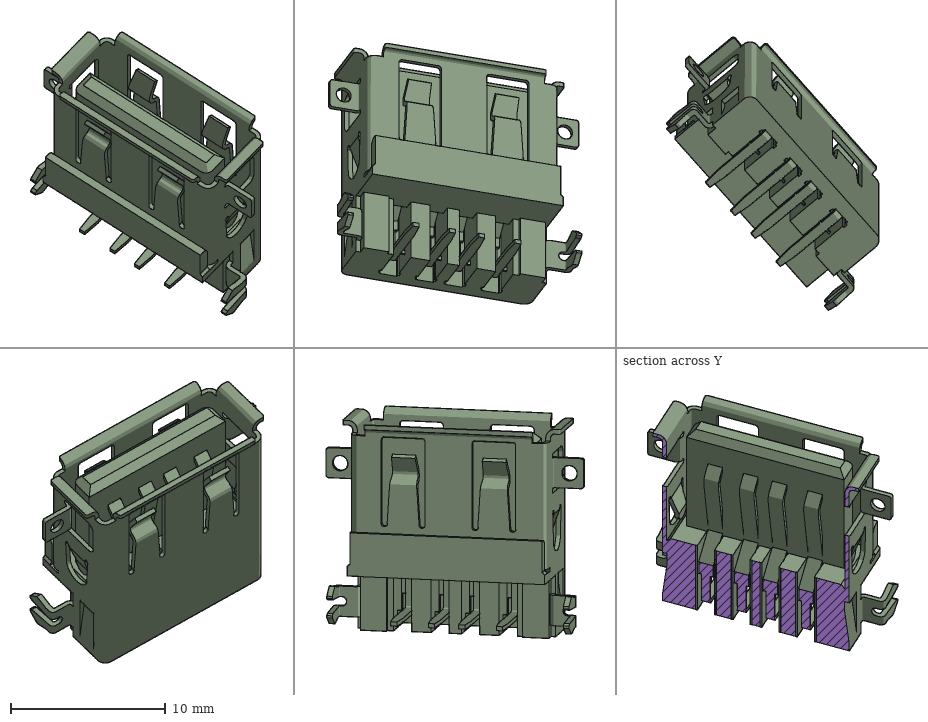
import cadquery as cq
import math


sheet = 0.3
shell_width = 13.12
shell_depth = 5.75
shell_top = 13.22
corner_radius = 0.62
half_width = shell_width / 2
half_depth = shell_depth / 2
inner_half_width = half_width - sheet
inner_half_depth = half_depth - sheet

lip_top = 14.0
lip_bend = 0.46
lip_corner = 0.17
long_lip_width = 11.08
long_lip_reach = 3.28
short_lip_width = 3.93
short_lip_reach = 7.23

front_wall_bottom = 4.87
gap_bottom = 4.65
gap_rear = -2.0
overhang_bottom = 4.07
leg_wall_front = -0.41

spring_offset = 3.01
window_width = 2.9
window_corner = 0.24
spring_root = 7.49
spring_root_width = 2.12
spring_bend = 10.2
spring_bend_radius = 0.41
spring_apex = 10.48
spring_apex_depth = 0.92
spring_apex_radius = 0.5
spring_top = 11.95
spring_tip_depth = 0.02
spring_taper_top = 12.31
spring_taper_top_width = 1.5
spring_slot_radius = 0.2

clip_root = 8.23
clip_root_width = 1.65
clip_bend = 6.82
clip_bend_width = 1.23
clip_tip = 6.1
clip_depth = 0.46
clip_slot_radius = 0.15
clip_slot_width = 2.36
clip_slot_low_width = 2.12
clip_slot_low = 6.4
clip_slot_bottom = 5.63

ear_span = 17.1
ear_height = 1.98
ear_level = 10.96
ear_hole = 1.01
ear_hole_offset = 7.61
ear_plane = -0.85
ear_corner = 0.19
ear_window_height = 2.6
ear_window_rear = 1.78
ear_window_front = -1.28
ear_window_corner = 0.53
ear_arm_corner = 0.12
small_bend = 0.25

leg_level = 1.85
leg_height = 2.0
leg_thickness = 0.38
leg_outer = 8.04
leg_slot = 0.62
leg_slot_end = 7.18
leg_bend = 0.32
leg_inner_bend = 0.09
leg_bend_front = -1.1
leg_tip = -3.06
leg_reach = 1.23
prong_tip_outline = ((-2.85, 0.45), (leg_tip, 0.56), (-3.05, 0.72))
prong_widest_front = -2.35
prong_widest_rear = -2.14
prong_neck = -1.37

housing_top = 5.47
housing_chamfer = 0.27
foot_front = -1.06
rib_front = -0.8
rib_zone_width = 9.03
front_bar_face = -3.63
front_bar_top = 6.93
front_bar_width = 12.75
front_bar_radius = 0.5
relief_width = 4.04
relief_step = -2.19
relief_depth = 0.35
latch_rear = 1.8
latch_front = 0.36
latch_top = 4.07
latch_ramp_top = 3.23
latch_bottom = 0.7

tongue_width = 11.08
tongue_front = -1.81
tongue_top = 13.44
tongue_chamfer = 0.48
tongue_corner = 0.55

contact_positions = (-3.5, -1.01, 1.01, 3.5)
contact_thickness = 0.27
contact_width = 1.03
stem_width = 0.63
stem_top = 3.13
blade_bend = 3.85
blade_points = ((-0.2, 5.65), (0.62, 10.36), (-0.27, 11.32))
blade_radius = 0.7
tail_level = 1.0
tail_tip = -3.44
tail_tip_width = 0.41
tail_taper_start = -2.22
barb_rear = 0.51
barb_front = 0.38
slot_width = 1.2
slot_rear = 1.8
slot_relief_width = 1.44
slot_relief_front = 1.55
slot_pocket_top = 1.98
slot_pocket_depth = 0.17


def box(x0, x1, y0, y1, z0, z1):
    """Axis-aligned block between two opposite corners."""
    return cq.Workplane("XY").box(x1 - x0, y1 - y0, z1 - z0, centered=False).translate((x0, y0, z0))


def both_sides(body):
    """The body together with its mirror image across the YZ plane."""
    return body.union(body.mirror("YZ"))


def bent_strip(plane, path, radii, thickness, width):
    """Bent sheet: path is its middle line, radii its bend radii (0 for sharp)."""
    segments = list(zip(path, path[1:]))
    angles = [math.atan2(b[1] - a[1], b[0] - a[0]) for a, b in segments]

    def beside(point, angle, offset):
        return point[0] - offset * math.sin(angle), point[1] + offset * math.cos(angle)

    def side(offset):
        """Line and arc pieces of one face, each as (start, arc midpoint or None, end)."""
        pieces = []
        start = beside(path[0], angles[0], offset)
        for point, radius, before, after in zip(path[1:], radii, angles, angles[1:]):
            turn = math.remainder(after - before, 2 * math.pi)
            if radius == 0:
                miter = beside(point, (before + after) / 2, offset / math.cos(turn / 2))
                pieces.append((start, None, miter))
                start = miter
                continue
            signed_radius = math.copysign(radius, turn)
            setback = radius * math.tan(abs(turn) / 2)
            tangent = (point[0] - setback * math.cos(before), point[1] - setback * math.sin(before))
            center = beside(tangent, before, signed_radius)
            arc = [beside(center, before + turn * part, offset - signed_radius) for part in (0, 0.5, 1)]
            pieces.append((start, None, arc[0]))
            pieces.append(tuple(arc))
            start = arc[2]
        pieces.append((start, None, beside(path[-1], angles[-1], offset)))
        return pieces

    left = side(thickness / 2)
    right = [(end, middle, start) for start, middle, end in reversed(side(-thickness / 2))]
    sketch = cq.Workplane(plane).moveTo(*left[0][0])
    end_cap = (left[-1][2], None, right[0][0])
    for _, middle, end in left + [end_cap] + right:
        sketch = sketch.threePointArc(middle, end) if middle else sketch.lineTo(*end)
    return sketch.close().extrude(width / 2, both=True)


def lip(wall_face, reach, width):
    """Lip on the +X side: rises from the wall and flares outward."""
    middle = wall_face - sheet / 2
    level = lip_top - sheet / 2
    path = [(middle, shell_top), (middle, level), (reach, level)]
    body = bent_strip("XZ", path, [lip_bend], sheet, width)
    return body.edges("|Z and >X").fillet(lip_corner)


def wall_window():
    """Opening around one front or back spring, centred on X = 0 and cut through both walls."""
    height = shell_top - spring_root
    opening = (
        cq.Workplane("XZ")
        .center(0, spring_root + height / 2)
        .rect(window_width, height)
        .extrude(shell_depth, both=True)
        .edges("|Y and >Z")
        .fillet(window_corner)
    )
    slot_ends = (
        cq.Workplane("XZ")
        .pushPoints([(side * (window_width / 2 - spring_slot_radius), spring_root) for side in (-1, 1)])
        .circle(spring_slot_radius)
        .extrude(shell_depth, both=True)
    )
    return opening.union(slot_ends)


def wall_spring():
    """Front-wall spring centred on X = 0: bulges inward and flares back out at its tip."""
    middle = -half_depth + sheet / 2
    apex = (middle + spring_apex_depth, spring_apex)
    tip = (middle + spring_tip_depth, spring_top)
    path = [(middle, spring_root), (middle, spring_bend), apex, tip]
    strip = bent_strip("YZ", path, [spring_bend_radius, spring_apex_radius], sheet, spring_root_width)
    taper = (
        cq.Workplane("XZ")
        .moveTo(-spring_root_width / 2, spring_root)
        .lineTo(spring_root_width / 2, spring_root)
        .lineTo(spring_taper_top_width / 2, spring_taper_top)
        .lineTo(-spring_taper_top_width / 2, spring_taper_top)
        .close()
        .extrude(shell_depth, both=True)
    )
    return strip.intersect(taper)


def clip_opening():
    """U-shaped opening around the side springs, cut through both side walls."""
    arm_top = clip_root + clip_slot_radius / 2
    outline = (
        cq.Workplane("YZ")
        .moveTo(-clip_slot_width / 2, clip_root)
        .lineTo(-clip_slot_low_width / 2, clip_slot_low)
        .threePointArc((0, clip_slot_bottom), (clip_slot_low_width / 2, clip_slot_low))
        .lineTo(clip_slot_width / 2, clip_root)
        .close()
        .extrude(shell_width, both=True)
    )
    arm_ends = (
        cq.Workplane("YZ")
        .pushPoints([(side * (clip_slot_width / 2 - clip_slot_radius), arm_top) for side in (-1, 1)])
        .circle(clip_slot_radius)
        .extrude(shell_width, both=True)
    )
    return outline.union(arm_ends)


def side_clip():
    """Left side spring: slopes inward going down and ends in a round vertical pad."""
    middle = -half_width + sheet / 2
    path = [
        (middle, clip_root + sheet),
        (middle, clip_root),
        (middle + clip_depth, clip_bend),
        (middle + clip_depth, clip_tip),
    ]
    strip = bent_strip("XZ", path, [0, 0], sheet, clip_root_width)
    outline = (
        cq.Workplane("YZ")
        .moveTo(-clip_root_width / 2, clip_root + sheet)
        .lineTo(-clip_root_width / 2, clip_root)
        .lineTo(-clip_bend_width / 2, clip_bend)
        .threePointArc((0, clip_tip), (clip_bend_width / 2, clip_bend))
        .lineTo(clip_root_width / 2, clip_root)
        .lineTo(clip_root_width / 2, clip_root + sheet)
        .close()
        .extrude(shell_width, both=True)
    )
    return strip.intersect(outline)


def ear_opening():
    """Opening left in the side walls where the mounting ears are bent out."""
    low = ear_level - ear_window_height / 2
    high = ear_level + ear_window_height / 2
    root = ear_plane - small_bend
    opening = box(-shell_width, shell_width, root, ear_window_rear, low, high)
    opening = opening.edges("|X and >Y").fillet(ear_window_corner)
    arm_height = (ear_window_height - ear_height) / 2
    for bottom in (low, high - arm_height):
        arm = box(-shell_width, shell_width, ear_window_front, root, bottom, bottom + arm_height)
        opening = opening.union(arm.edges("|X and <Y").fillet(ear_arm_corner))
    return opening


def ear():
    """Left mounting ear with its hole."""
    middle = -half_width + sheet / 2
    path = [(middle, ear_window_front), (middle, ear_plane), (-ear_span / 2, ear_plane)]
    body = bent_strip("XY", path, [small_bend], sheet, ear_height).translate((0, 0, ear_level))
    body = body.edges("|Y and <X").fillet(ear_corner)
    hole = (
        cq.Workplane("XZ")
        .center(-ear_hole_offset, ear_level)
        .circle(ear_hole / 2)
        .extrude(shell_depth, both=True)
    )
    return body.cut(hole)


def solder_leg():
    """Left leg: bends out of the side wall, then forward into two pointed prongs."""
    wall_middle = -half_width + sheet / 2
    flange_rear = ear_plane + sheet / 2
    leg_inner = -leg_outer + leg_thickness
    half_height = leg_height / 2
    slot_center = leg_slot_end + leg_slot / 2
    path = [(wall_middle, leg_wall_front), (wall_middle, ear_plane), (-leg_outer + leg_bend, ear_plane)]
    blank = bent_strip("XY", path, [small_bend], sheet, leg_height)
    plate = box(-leg_outer, leg_inner, leg_tip, flange_rear, -leg_reach, leg_reach)
    blank = blank.union(plate.edges("|Z and <X and >Y").fillet(leg_bend))
    inner_corner = cq.NearestToPointSelector((leg_inner, ear_plane - sheet / 2, 0))
    blank = blank.edges(inner_corner).fillet(leg_inner_bend)
    slot = box(-ear_span, -slot_center, -shell_depth, 0, -leg_slot / 2, leg_slot / 2)
    slot_end = (
        cq.Workplane("XZ")
        .center(-slot_center, 0)
        .circle(leg_slot / 2)
        .extrude(shell_depth)
    )
    upper_outline = [
        (0, 0),
        (leg_bend_front, 0),
        (leg_bend_front, leg_slot / 2),
        *prong_tip_outline,
        (prong_widest_front, leg_reach),
        (prong_widest_rear, leg_reach),
        (prong_neck, half_height),
        (0, half_height),
    ]
    upper_half = cq.Workplane("YZ").polyline(upper_outline).close().extrude(shell_width, both=True)
    outline = upper_half.union(upper_half.mirror("XY"))
    return blank.intersect(outline).cut(slot).cut(slot_end).translate((0, 0, leg_level))


def shell():
    """Rounded sheet-metal tube with lips, springs, ears and solder legs."""
    outside = box(-half_width, half_width, -half_depth, half_depth, 0, shell_top)
    outside = outside.edges("|Z").fillet(corner_radius)
    cavity = box(-inner_half_width, inner_half_width, -inner_half_depth, inner_half_depth, 0, shell_top)
    body = outside.cut(cavity.edges("|Z").fillet(corner_radius - sheet))

    body = body.cut(box(-half_width, half_width, -half_depth, gap_rear, 0, front_wall_bottom))
    body = body.cut(box(-half_width, half_width, -half_depth, leg_wall_front, 0, overhang_bottom))
    body = body.cut(clip_opening()).cut(ear_opening())
    body = body.cut(both_sides(box(
        inner_half_width, half_width, latch_front, latch_rear, latch_bottom, latch_top
    )))
    for x in (-spring_offset, spring_offset):
        body = body.cut(wall_window().translate((x, 0, 0)))
        spring = wall_spring().translate((x, 0, 0))
        body = body.union(spring).union(spring.mirror("XZ"))

    long_lip = lip(half_depth, long_lip_reach, long_lip_width)
    short_lip = lip(half_width, short_lip_reach, short_lip_width)
    for quarter_turn, part in enumerate((short_lip, long_lip) * 2):
        body = body.union(part.rotate((0, 0, 0), (0, 0, 1), 90 * quarter_turn))

    for part in (side_clip(), ear(), solder_leg()):
        body = body.union(both_sides(part))
    return body


def latch():
    """Left snap latch of the housing: a ramp that fills the lower part of the side window."""
    return (
        cq.Workplane("XZ", origin=(0, latch_rear, 0))
        .polyline([
            (-inner_half_width, latch_ramp_top),
            (-inner_half_width, latch_bottom),
            (-half_width, latch_bottom),
        ])
        .close()
        .extrude(latch_rear - latch_front)
    )


def front_bar():
    """Bar in front of the shell, joined to the housing below the front wall."""
    bevel = (shell_width - front_bar_width) / 2
    outline = [
        (-half_width, overhang_bottom),
        (half_width, overhang_bottom),
        (half_width, front_wall_bottom - bevel),
        (front_bar_width / 2, front_wall_bottom),
        (front_bar_width / 2, front_bar_top),
        (-front_bar_width / 2, front_bar_top),
        (-front_bar_width / 2, front_wall_bottom),
        (-half_width, front_wall_bottom - bevel),
    ]
    bar = (
        cq.Workplane("XZ", origin=(0, -half_depth, 0))
        .polyline(outline)
        .close()
        .extrude(-half_depth - front_bar_face)
        .edges("|X and >Z and >Y")
        .fillet(front_bar_radius)
    )
    return bar.union(box(-half_width, half_width, -half_depth, gap_rear, overhang_bottom, gap_bottom))


def tongue():
    """Plate that carries the contacts, chamfered at the mouth and rounded at its front corners."""
    half = tongue_width / 2
    body = box(-half, half, tongue_front, 0, overhang_bottom, tongue_top)
    return body.edges("|Z and <Y").fillet(tongue_corner).faces(">Z").edges().chamfer(tongue_chamfer)


def housing_top_bevel():
    """Wedges that bevel the top edge of the housing at the rear and at both ends."""
    rear = (
        cq.Workplane("YZ")
        .polyline([
            (inner_half_depth, housing_top),
            (inner_half_depth - housing_chamfer, housing_top),
            (inner_half_depth, housing_top - housing_chamfer),
        ])
        .close()
        .extrude(inner_half_width, both=True)
    )
    end = (
        cq.Workplane("XZ")
        .polyline([
            (inner_half_width, housing_top),
            (inner_half_width - housing_chamfer, housing_top),
            (inner_half_width, housing_top - housing_chamfer),
        ])
        .close()
        .extrude(inner_half_depth, both=True)
    )
    return rear.union(both_sides(end))


def contact_slot():
    """Slot for one contact centred on X = 0: open at the bottom, the front and the housing floor."""
    half = slot_width / 2
    half_relief = slot_relief_width / 2
    slot = box(-half, half, -half_depth, slot_rear, 0, overhang_bottom)
    slot = slot.union(box(-half, half, 0, slot_rear, 0, housing_top))
    slot = slot.union(box(-half_relief, half_relief, slot_relief_front, slot_rear, 0, housing_top))
    return slot.union(box(-half, half, 0, slot_rear + slot_pocket_depth, 0, slot_pocket_top))


def housing():
    """Plastic body that closes the shell, with its tongue, front bar and contact slots."""
    body = box(-inner_half_width, inner_half_width, -inner_half_depth, inner_half_depth, 0, housing_top)
    body = body.edges("|Z").fillet(corner_radius - sheet)
    body = body.cut(box(-half_width, half_width, -half_depth, foot_front, 0, overhang_bottom))
    body = body.cut(
        box(-rib_zone_width / 2, rib_zone_width / 2, -half_depth, rib_front, 0, overhang_bottom)
    )
    body = body.cut(housing_top_bevel())
    half_relief = relief_width / 2
    relief_floor = housing_top - relief_depth
    step_floor = housing_top - relief_depth / 2
    body = body.cut(box(-half_relief, half_relief, relief_step, tongue_front, relief_floor, housing_top))
    body = body.cut(box(-half_relief, half_relief, -inner_half_depth, relief_step, step_floor, housing_top))
    body = body.union(tongue())
    for x in contact_positions:
        body = body.cut(contact_slot().translate((x, 0, 0)))
    return body.union(front_bar()).union(both_sides(latch()))


def contact():
    """One contact centred on X = 0: soldering tail, upright stem and sprung blade."""
    stem_middle = slot_rear - contact_thickness / 2
    half_thickness = contact_thickness / 2
    tail_path = [(tail_taper_start, tail_level), (stem_middle, tail_level), (stem_middle, stem_top)]
    tail = bent_strip("YZ", tail_path, [small_bend], contact_thickness, stem_width)
    tip = (
        cq.Workplane("XY", origin=(0, 0, tail_level - half_thickness))
        .polyline([
            (-stem_width / 2, tail_taper_start),
            (-tail_tip_width / 2, tail_tip),
            (tail_tip_width / 2, tail_tip),
            (stem_width / 2, tail_taper_start),
        ])
        .close()
        .extrude(contact_thickness)
    )
    barb = box(
        -slot_width / 2, slot_width / 2, barb_front, barb_rear,
        tail_level - half_thickness, tail_level + half_thickness,
    )
    blade_path = [(stem_middle, stem_top), (stem_middle, blade_bend), *blade_points]
    blade = bent_strip("YZ", blade_path, [0, small_bend, blade_radius], contact_thickness, contact_width)
    return tail.union(tip).union(barb).union(blade)


result = shell().union(housing())
for position in contact_positions:
    result = result.union(contact().translate((position, 0, 0)))